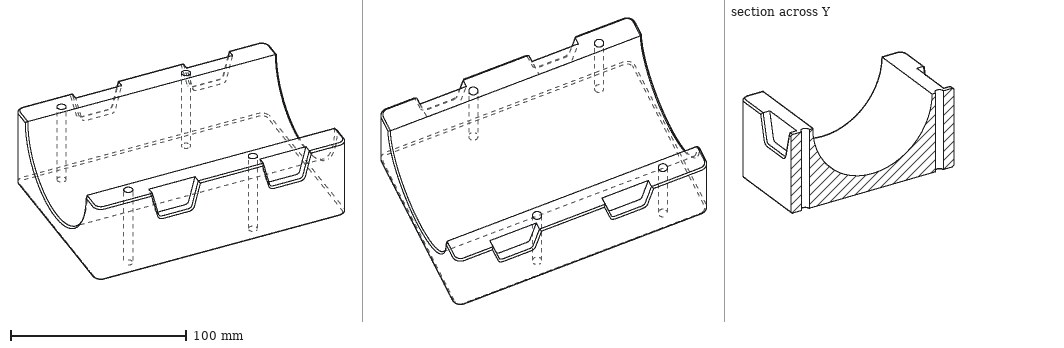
import cadquery as cq
import math

width = 110.0
length = 158.0
height = 50.9
corner_radius = 5.0
edge_break = 1.1

channel_radius = 40.0

hole_diameter = 5.2
hole_x = 45.0
hole_rows_y = (24.0, -54.4)

pocket_rows_y = (41.0, -28.9)
pocket_inset = 5.5
pocket_depth = 17.7
pocket_top_width = 28.9
pocket_wall_angle = 14.0
pocket_corner_radius = 2.4
cutter_headroom = 3.3


def make_block():
    """Rounded block with the top and bottom outlines chamfered."""
    block = cq.Workplane("XY").box(width, length, height, centered=(True, True, False))
    block = block.edges("|Z").fillet(corner_radius)
    return block.faces(">Z or <Z").edges().chamfer(edge_break)


def add_channel(body):
    """Cut the channel and chamfer its two ends; its long top edges stay sharp."""
    front_end = cq.Workplane("XZ", origin=(0, -length / 2, height))
    channel = front_end.circle(channel_radius).extrude(-length)
    flare = front_end.circle(channel_radius + edge_break).extrude(-edge_break, taper=45)
    return body.cut(channel).cut(flare).cut(flare.mirror("XZ"))


def make_pocket_cutter(center_y):
    """Cutter for the -X side, carried above the top face, with a flared mouth."""
    slope = math.tan(math.radians(pocket_wall_angle))
    top_half = pocket_top_width / 2 + cutter_headroom * slope
    floor_half = pocket_top_width / 2 - pocket_depth * slope
    floor_z = height - pocket_depth
    top_z = height + cutter_headroom

    def trapezoid(margin):
        side_margin = margin / math.cos(math.radians(pocket_wall_angle))
        low_half = floor_half + side_margin - margin * slope
        high_half = top_half + side_margin
        return cq.Workplane("YZ", origin=(-width / 2, center_y, 0)).polyline([
            (-low_half, floor_z - margin),
            (low_half, floor_z - margin),
            (high_half, top_z),
            (-high_half, top_z),
        ]).close()

    recess = trapezoid(0).extrude(pocket_inset)
    recess = recess.edges("|X and <Z").fillet(pocket_corner_radius)
    mouth_radius = pocket_corner_radius + edge_break
    mouth_prism = trapezoid(edge_break).extrude(edge_break)
    mouth_prism = mouth_prism.edges("|X and <Z").fillet(mouth_radius)
    mouth_outline = mouth_prism.faces("<X").wires().val()
    mouth = (
        cq.Workplane("YZ", origin=(-width / 2, 0, 0))
        .add(mouth_outline)
        .toPending()
        .extrude(edge_break, taper=45)
    )
    return recess.union(mouth)


def add_pockets(body):
    for center_y in pocket_rows_y:
        cutter = make_pocket_cutter(center_y)
        body = body.cut(cutter).cut(cutter.mirror("YZ"))
    return body


def add_holes(body):
    centers = [(x, y) for x in (-hole_x, hole_x) for y in hole_rows_y]
    holes = cq.Workplane("XY").pushPoints(centers).circle(hole_diameter / 2).extrude(height)
    return body.cut(holes)


result = add_holes(add_pockets(add_channel(make_block())))